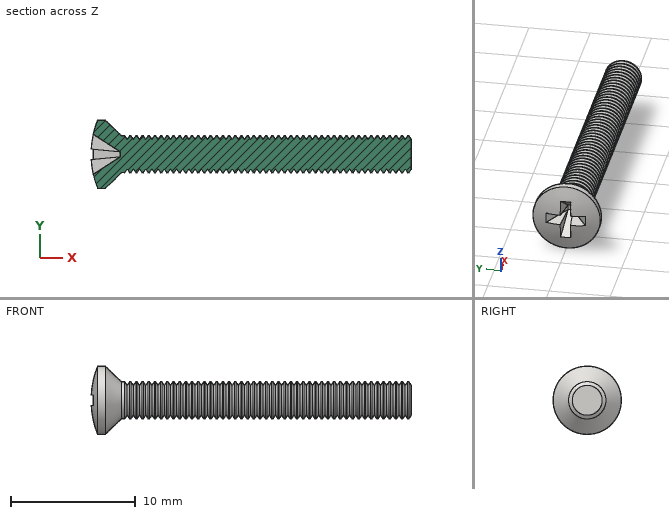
import cadquery as cq

overall_length = 25.7
head_diameter = 5.5
dome_height = 0.54
rim_length = 0.62
cone_length = 1.3
thread_diameter = 3.0
neck_length = 0.26
ridge_count = 46
thread_depth = 0.3
crest_width = 0.1
recess_span = 3.45
recess_arm_width = 0.85
recess_floor_width = 0.4
recess_depth = 2.35

head_radius = head_diameter / 2
crest_radius = thread_diameter / 2
root_radius = crest_radius - thread_depth
rim_end = dome_height + rim_length
cone_end = rim_end + cone_length
neck_end = cone_end + neck_length
dome_radius = (head_radius**2 + dome_height**2) / (2 * dome_height)
recess_corner_radius = recess_arm_width / 2 * 2**0.5
tip_loss = dome_radius - (dome_radius**2 - recess_corner_radius**2) ** 0.5
screw_end = tip_loss + overall_length
flank_count = 2 * ridge_count + 1
flank_length = (screw_end - neck_end - ridge_count * crest_width) / flank_count


def make_body():
    """Revolve the domed countersunk head and the shank with its ring-shaped thread about X."""
    half_radius = head_radius / 2
    dome_mid_x = dome_radius - (dome_radius**2 - half_radius**2) ** 0.5
    profile = (
        cq.Workplane("XY")
        .moveTo(0, 0)
        .threePointArc((dome_mid_x, half_radius), (dome_height, head_radius))
        .lineTo(rim_end, head_radius)
        .lineTo(cone_end, crest_radius)
        .lineTo(neck_end, crest_radius)
    )
    root_x = neck_end + flank_length
    profile = profile.lineTo(root_x, root_radius)
    for _ in range(ridge_count):
        crest_start = root_x + flank_length
        crest_end = crest_start + crest_width
        root_x = crest_end + flank_length
        profile = (
            profile.lineTo(crest_start, crest_radius)
            .lineTo(crest_end, crest_radius)
            .lineTo(root_x, root_radius)
        )
    profile = profile.lineTo(screw_end, 0).close()
    return profile.revolve(360, (0, 0, 0), (1, 0, 0))


def make_recess_arm(width_y, width_z):
    """One tapered bar of the cross, narrowing to the square floor of the recess."""
    return (
        cq.Workplane("YZ")
        .rect(width_y, width_z)
        .workplane(offset=recess_depth)
        .rect(recess_floor_width, recess_floor_width)
        .loft(ruled=True)
    )


result = (
    make_body()
    .cut(make_recess_arm(recess_span, recess_arm_width))
    .cut(make_recess_arm(recess_arm_width, recess_span))
)